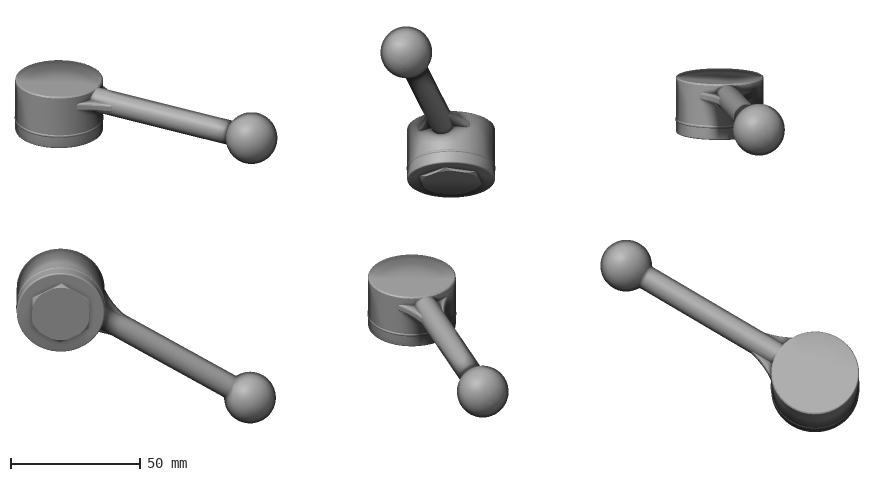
import cadquery as cq
import math

hub_diameter = 34.0
hub_bottom = 1.0
hub_top = 23.0
rim_round = 0.6

bead_bottom = 5.7
bead_top = 6.7
bead_diameter = 34.4

hex_corner_diameter = 25.5
hex_tip_diameter = 22.6

overall_length = 113.2
overall_height = 28.0
ball_diameter = 20.0
rod_diameter = 9.5
neck_round = 1.2

web_thickness = 3.2
web_start_x = 13.6
web_end_x = 26.0
web_arc_radius = 34.0
web_round = 0.8

hub_radius = hub_diameter / 2
bead_radius = bead_diameter / 2
rod_radius = rod_diameter / 2
ball_radius = ball_diameter / 2
ball_x = overall_length - bead_radius - ball_radius
lever_z = overall_height - ball_radius


def make_hub():
    body = (
        cq.Workplane("XY", origin=(0, 0, hub_bottom))
        .circle(hub_radius)
        .extrude(hub_top - hub_bottom)
        .faces("<Z or >Z")
        .edges()
        .fillet(rim_round)
    )
    bead = (
        cq.Workplane("XZ")
        .moveTo(0, bead_bottom)
        .lineTo(hub_radius, bead_bottom)
        .threePointArc((bead_radius, (bead_bottom + bead_top) / 2), (hub_radius, bead_top))
        .lineTo(0, bead_top)
        .close()
        .revolve(360, (0, 0, 0), (0, 1, 0))
    )
    return body.union(bead)


def make_hexagon():
    """Hexagon with two corners on the X axis, trimmed by a cone towards its tip."""
    prism = cq.Workplane("XY").polygon(6, hex_corner_diameter).extrude(hub_bottom)
    cone = (
        cq.Workplane("XY")
        .circle(hex_tip_diameter / 2)
        .workplane(offset=hub_bottom)
        .circle(hex_corner_diameter / 2)
        .loft()
    )
    return prism.intersect(cone)


def make_lever():
    """Rod starting at the hub axis, blended into the ball by a small fillet."""
    rod = cq.Workplane("YZ", origin=(0, 0, lever_z)).circle(rod_radius).extrude(ball_x)
    ball = cq.Workplane("XY", origin=(ball_x, 0, lever_z)).sphere(ball_radius)
    neck_x = ball_x - math.sqrt(ball_radius**2 - rod_radius**2)
    neck_edge = cq.selectors.NearestToPointSelector((neck_x, 0, lever_z))
    return rod.union(ball).edges(neck_edge).fillet(neck_round)


def make_webs():
    """Plate with a concave edge on each side, running from the hub to the rod."""
    web_start_y = math.sqrt(hub_radius**2 - web_start_x**2)
    plate = (
        cq.Workplane("XY", origin=(0, 0, lever_z - web_thickness / 2))
        .lineTo(web_start_x, web_start_y)
        .radiusArc((web_end_x, rod_radius), -web_arc_radius)
        .lineTo(web_end_x, -rod_radius)
        .radiusArc((web_start_x, -web_start_y), -web_arc_radius)
        .close()
        .extrude(web_thickness)
    )
    return plate.edges("%CIRCLE").fillet(web_round)


result = make_hub().union(make_hexagon()).union(make_lever()).union(make_webs())